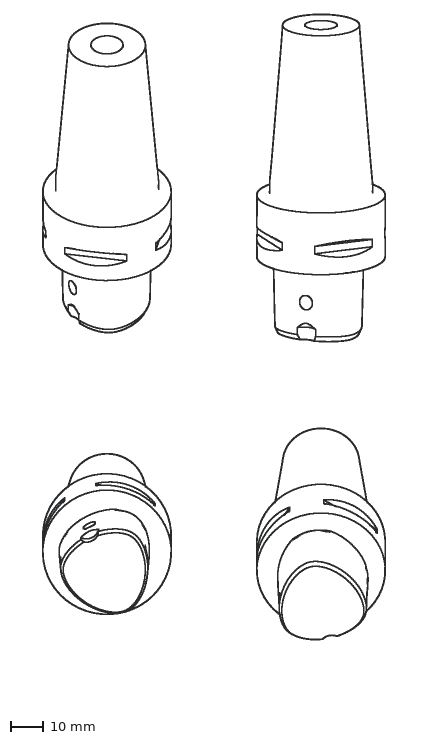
import cadquery as cq
import math

total_height = 99.0
collar_bottom = 24.0
collar_height = 20.0
collar_top = collar_bottom + collar_height

collar_radius = 20.0
groove_count = 4
groove_floor_distance = 17.4
groove_floor_height = 2.4
groove_center_height = 31.9
groove_wall_angle = 28.0

nose_tip_radius = 12.0
nose_base_radius = 16.0
nose_cone_start = 48.0
nose_fillet = 0.9
bore_diameter = 10.0
bore_depth = 41.6

shank_mean_radius = 14.1
shank_lobe_height = 0.9
shank_taper_top = 21.6
shank_taper_slope = 1 / 40
shank_chamfer_height = 1.8
shank_chamfer_inset = 0.8
lobe_relief_radius = 14.1
lobe_relief_height = 0.8
outline_points = 72

dimple_diameter = 4.7
dimple_height = 12.5
dimple_cone_angle = 118.0

keyway_radius = 3.9
keyway_offset = 14.85
keyway_depth = 4.1
drill_tip_angle = 90.0

clearance = 1.0


def lobed_outline(height, mean_radius):
    """Constant-width outline with three lobes, one of them pointing to +Y."""

    def point(fraction):
        angle = 2 * math.pi * fraction
        reach = mean_radius + shank_lobe_height * math.cos(3 * angle)
        slide = -3 * shank_lobe_height * math.sin(3 * angle)
        along_lobe = reach * math.cos(angle) - slide * math.sin(angle)
        across_lobe = reach * math.sin(angle) + slide * math.cos(angle)
        return (-across_lobe, along_lobe)

    return cq.Workplane("XY", origin=(0, 0, height)).parametricCurve(point, N=outline_points)


def lobed_frustum(bottom, bottom_radius, top, top_radius):
    lower = lobed_outline(bottom, bottom_radius).val()
    upper = lobed_outline(top, top_radius).val()
    return cq.Workplane(cq.Solid.makeLoft([lower, upper], True))


def make_shank():
    taper_length = shank_taper_top - shank_chamfer_height
    small_radius = shank_mean_radius - taper_length * shank_taper_slope
    end_radius = small_radius - shank_chamfer_inset
    chamfer = lobed_frustum(0, end_radius, shank_chamfer_height, small_radius)
    taper = lobed_frustum(shank_chamfer_height, small_radius, shank_taper_top, shank_mean_radius)
    neck = lobed_outline(shank_taper_top, shank_mean_radius).extrude(collar_bottom - shank_taper_top)
    return chamfer.union(taper).union(neck).cut(make_lobe_relief())


def make_lobe_relief():
    """Ring that trims the lobe tips just below the collar, ending in a 45 degree cone."""
    outer_radius = shank_mean_radius + shank_lobe_height + clearance
    cone_top = collar_bottom - lobe_relief_height
    cone_bottom = cone_top - (outer_radius - lobe_relief_radius)
    return (
        cq.Workplane("XZ")
        .moveTo(lobe_relief_radius, collar_bottom)
        .lineTo(outer_radius, collar_bottom)
        .lineTo(outer_radius, cone_bottom)
        .lineTo(lobe_relief_radius, cone_top)
        .close()
        .revolve(360, (0, 0), (0, 1))
    )


def make_collar_and_nose():
    fillet_middle = nose_fillet * (1 - math.sqrt(0.5))
    return (
        cq.Workplane("XZ")
        .moveTo(0, collar_bottom)
        .lineTo(collar_radius, collar_bottom)
        .lineTo(collar_radius, collar_top)
        .lineTo(nose_base_radius + nose_fillet, collar_top)
        .threePointArc(
            (nose_base_radius + fillet_middle, collar_top + fillet_middle),
            (nose_base_radius, collar_top + nose_fillet),
        )
        .lineTo(nose_base_radius, nose_cone_start)
        .lineTo(nose_tip_radius, total_height)
        .lineTo(0, total_height)
        .close()
        .revolve(360, (0, 0), (0, 1))
    )


def make_gripper_groove(direction):
    """Straight groove with a flat floor and flared walls, facing the given angle about Z."""
    outer_distance = collar_radius + clearance
    flare = (outer_distance - groove_floor_distance) * math.tan(math.radians(groove_wall_angle))
    floor_half = groove_floor_height / 2
    return (
        cq.Workplane("XZ")
        .moveTo(groove_floor_distance, groove_center_height - floor_half)
        .lineTo(outer_distance, groove_center_height - floor_half - flare)
        .lineTo(outer_distance, groove_center_height + floor_half + flare)
        .lineTo(groove_floor_distance, groove_center_height + floor_half)
        .close()
        .extrude(collar_radius, both=True)
        .rotate((0, 0, 0), (0, 0, 1), direction)
    )


def make_dimple():
    surface_height = shank_taper_top - dimple_height
    surface_distance = shank_mean_radius - surface_height * shank_taper_slope - shank_lobe_height
    slope = math.tan(math.radians(dimple_cone_angle / 2))
    outer_radius = dimple_diameter / 2 + clearance * slope
    inward = cq.Vector(0, 1, 0)
    cone_base = cq.Vector(0, -surface_distance - clearance, dimple_height)
    return cq.Workplane(cq.Solid.makeCone(outer_radius, 0, outer_radius / slope, cone_base, inward))


def make_keyway():
    tip_height = keyway_radius / math.tan(math.radians(drill_tip_angle / 2))
    return (
        cq.Workplane("XZ")
        .lineTo(keyway_radius, 0)
        .lineTo(keyway_radius, keyway_depth)
        .lineTo(0, keyway_depth + tip_height)
        .close()
        .revolve(360, (0, 0), (0, 1))
        .translate((0, -keyway_offset, 0))
    )


def make_bore():
    return (
        cq.Workplane("XY", origin=(0, 0, total_height - bore_depth))
        .circle(bore_diameter / 2)
        .extrude(bore_depth)
    )


result = make_collar_and_nose().union(make_shank())
for index in range(groove_count):
    result = result.cut(make_gripper_groove((index + 0.5) * 360 / groove_count))
result = result.cut(make_dimple()).cut(make_keyway()).cut(make_bore())